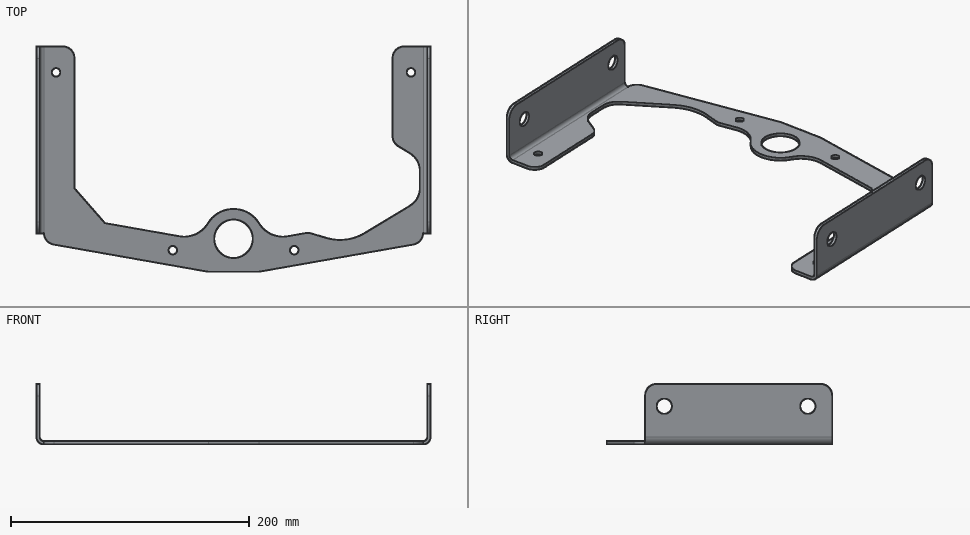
import cadquery as cq
import math

width = 330.2
height = 51.0
sheet = 3.0
bend_radius = 6.3
back_y = 161.0
front_y = -27.7
corner_radius = 10.0

flange_length = 157.0
flange_hole_diameter = 12.5
flange_hole_z = 32.0
flange_hole_back_offset = 20.5
flange_hole_spacing = 120.2

edge_angle = math.radians(10)
edge_slope = math.tan(edge_angle)
front_flat_half = 21.0
arm_inner_x = 133.0
left_arm_bottom_y = 42.3
left_web_x = -107.5
web_base_y = -5.78
web_peak_x = 62.7
relief_x = 156.0
relief_bottom_y = 32.7
relief_top_y = 66.5
relief_arm_y = 80.5
relief_radius = 16.5
dip_x = 94.8
dip_y = -4.3
dip_radius = 40.0
peak_radius = 10.0

boss_radius = 25.0
neck_radius = 23.0
main_hole_diameter = 32.0
small_hole_diameter = 7.0
arm_hole = (148.5, 139.5)
web_hole = (51.0, -9.5)

half_width = width / 2
plate_half = half_width - bend_radius
flange_front_y = back_y - flange_length
plate_corner_y = front_y + edge_slope * (plate_half - front_flat_half)


def web_edge_y(x):
    """Height of the sloping inner edge at x."""
    return web_base_y + edge_slope * abs(x)


def make_plate():
    corners = [
        (-plate_half, back_y, 0),
        (-plate_half, plate_corner_y, corner_radius),
        (-front_flat_half, front_y, 0),
        (front_flat_half, front_y, 0),
        (plate_half, plate_corner_y, corner_radius),
        (plate_half, back_y, 0),
        (arm_inner_x, back_y, corner_radius),
        (arm_inner_x, relief_arm_y, corner_radius),
        (relief_x, relief_top_y, relief_radius),
        (relief_x, relief_bottom_y, relief_radius),
        (dip_x, dip_y, dip_radius),
        (web_peak_x, web_edge_y(web_peak_x), peak_radius),
        (0, web_base_y, 0),
        (left_web_x, web_edge_y(left_web_x), 0),
        (-arm_inner_x, left_arm_bottom_y, 0),
        (-arm_inner_x, back_y, corner_radius),
    ]
    plate = cq.Workplane("XY").polyline([(x, y) for x, y, _ in corners]).close().extrude(sheet)
    for x, y, radius in corners:
        if radius > 0:
            corner_edge = cq.selectors.NearestToPointSelector((x, y, sheet / 2))
            plate = plate.edges("|Z").edges(corner_edge).fillet(radius)
    return plate


def make_boss():
    sine, cosine = math.sin(edge_angle), math.cos(edge_angle)
    normal_offset = web_base_y * cosine + neck_radius
    along_edge = math.sqrt((boss_radius + neck_radius) ** 2 - normal_offset ** 2)
    neck_x = along_edge * cosine - normal_offset * sine
    neck_y = along_edge * sine + normal_offset * cosine
    foot_x = neck_x + neck_radius * sine
    foot_y = neck_y - neck_radius * cosine
    boss_share = boss_radius / (boss_radius + neck_radius)
    shoulder_x = neck_x * boss_share
    shoulder_y = neck_y * boss_share
    to_boss = math.atan2(-neck_y, -neck_x)
    to_foot = edge_angle - math.pi / 2
    middle = (to_boss + to_foot) / 2
    middle_x = neck_x + neck_radius * math.cos(middle)
    middle_y = neck_y + neck_radius * math.sin(middle)
    return (
        cq.Workplane("XY")
        .moveTo(0, front_y)
        .lineTo(foot_x, foot_y)
        .threePointArc((middle_x, middle_y), (shoulder_x, shoulder_y))
        .threePointArc((0, boss_radius), (-shoulder_x, shoulder_y))
        .threePointArc((-middle_x, middle_y), (-foot_x, foot_y))
        .close()
        .extrude(sheet)
    )


def make_left_flange():
    inner_radius = bend_radius - sheet
    inner_x = -half_width + sheet
    diagonal = math.sqrt(0.5)
    bend_x = -plate_half
    flange = (
        cq.Workplane("XZ", origin=(0, flange_front_y, 0))
        .moveTo(bend_x, 0)
        .threePointArc(
            (bend_x - bend_radius * diagonal, bend_radius * (1 - diagonal)),
            (-half_width, bend_radius),
        )
        .lineTo(-half_width, height)
        .lineTo(inner_x, height)
        .lineTo(inner_x, bend_radius)
        .threePointArc(
            (bend_x - inner_radius * diagonal, bend_radius - inner_radius * diagonal),
            (bend_x, sheet),
        )
        .close()
        .extrude(-flange_length)
    )
    flange = flange.faces(">Z").edges("|X").fillet(corner_radius)
    back_hole_y = back_y - flange_hole_back_offset
    holes = (
        cq.Workplane("YZ", origin=(-half_width, 0, 0))
        .pushPoints([(back_hole_y, flange_hole_z), (back_hole_y - flange_hole_spacing, flange_hole_z)])
        .circle(flange_hole_diameter / 2)
        .extrude(sheet)
    )
    return flange.cut(holes)


def plate_holes():
    small_points = [(side * x, y) for side in (-1, 1) for x, y in (arm_hole, web_hole)]
    small = cq.Workplane("XY").pushPoints(small_points).circle(small_hole_diameter / 2).extrude(sheet)
    main = cq.Workplane("XY").circle(main_hole_diameter / 2).extrude(sheet)
    return small.union(main)


left_flange = make_left_flange()
right_flange = left_flange.mirror("YZ")
base = make_plate().union(make_boss()).cut(plate_holes())
result = base.union(left_flange).union(right_flange)